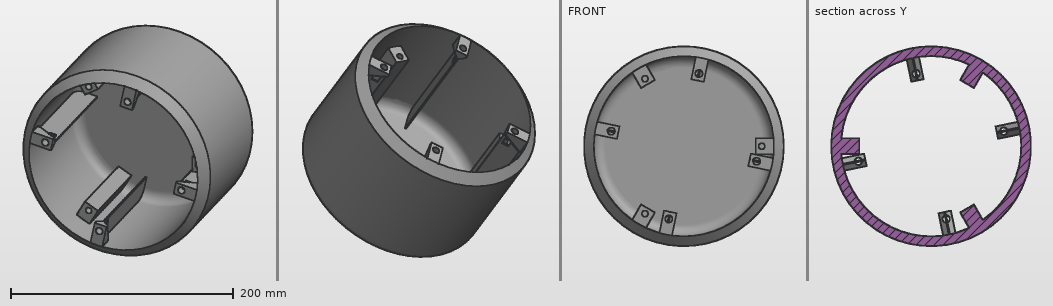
import cadquery as cq
import math

outer_radius = 90.0
length = 125.0
wall = 9.0
floor = 9.0
edge_round = 10.0
bore_radius = outer_radius - wall
back_y = length / 2
front_y = -back_y
floor_y = back_y - floor

post_count = 3
post_width = 14.4
post_inner_radius = 64.6
post_recess = 30.0
post_hole_radius = 70.0
post_hole_diameter = 5.5
post_hole_depth = 18.0

tab_count = 4
tab_start_angle = -11.7
tab_width = 11.5
tab_inner_radius = 60.3
tab_edge_thickness = 3.6
tab_ridge_rise = tab_width / 2
tab_slope_angle = 30.0
tab_hole_radius = 66.8
tab_hole_diameter = 6.5
tab_hole_depth = 20.0
rib_thickness = 1.3

embed_radius = bore_radius + wall / 4


def make_shell():
    """Solid outside of the cup, rounded at the closed end and chamfered at the open end."""
    shell = cq.Workplane("XZ", origin=(0, back_y, 0)).circle(outer_radius).extrude(length)
    return shell.faces(">Y").edges().fillet(edge_round).faces("<Y").edges().chamfer(wall)


def make_cavity():
    cavity = cq.Workplane("XZ", origin=(0, floor_y, 0)).circle(bore_radius).extrude(floor_y - front_y)
    return cavity.faces(">Y").edges().fillet(edge_round)


def radial_box(inner_radius, width, start_y):
    """Bar on the +X side, from start_y into the floor and from inner_radius into the wall."""
    size = (embed_radius - inner_radius, floor_y + floor / 2 - start_y, width)
    bar = cq.Workplane("XY", origin=(inner_radius, start_y, 0))
    return bar.box(*size, centered=(False, False, True))


def drill(radius, diameter, start_y, depth):
    """Blind hole along +Y, on the +X side of the axis."""
    return cq.Workplane("XZ", origin=(radius, start_y, 0)).circle(diameter / 2).extrude(-depth)


def make_post():
    start_y = front_y + post_recess
    post = radial_box(post_inner_radius, post_width, start_y)
    return post.cut(drill(post_hole_radius, post_hole_diameter, start_y, post_hole_depth))


def tab_section(edge_thickness):
    """Corners (y, z) of a flat-fronted section whose back rises to a ridge in the middle."""
    half = tab_width / 2
    edge_y = front_y + edge_thickness
    return [
        (front_y, -half),
        (front_y, half),
        (edge_y, half),
        (edge_y + tab_ridge_rise, 0),
        (edge_y, -half),
    ]


def make_tab():
    """Tab that thickens towards the wall, with a rib from its ridge to the floor."""
    reach = embed_radius - tab_inner_radius
    root_thickness = tab_edge_thickness + reach * math.tan(math.radians(tab_slope_angle))
    tab = (
        cq.Workplane("YZ", origin=(tab_inner_radius, 0, 0))
        .polyline(tab_section(tab_edge_thickness))
        .close()
        .workplane(offset=reach)
        .polyline(tab_section(root_thickness))
        .close()
        .loft(ruled=True)
    )
    rib = radial_box(tab_inner_radius, rib_thickness, front_y + tab_edge_thickness)
    hole = drill(tab_hole_radius, tab_hole_diameter, front_y, tab_hole_depth)
    return tab.union(rib).cut(hole)


def turn(part, angle):
    """Turn a part about the Y axis, from +X towards +Z."""
    return part.rotate((0, 0, 0), (0, 1, 0), -angle)


shell = make_shell()
result = shell.cut(make_cavity())
for i in range(post_count):
    result = result.union(turn(make_post(), i * 360 / post_count))
for i in range(tab_count):
    tab = turn(make_tab(), tab_start_angle + i * 360 / tab_count)
    result = result.union(tab.intersect(shell))